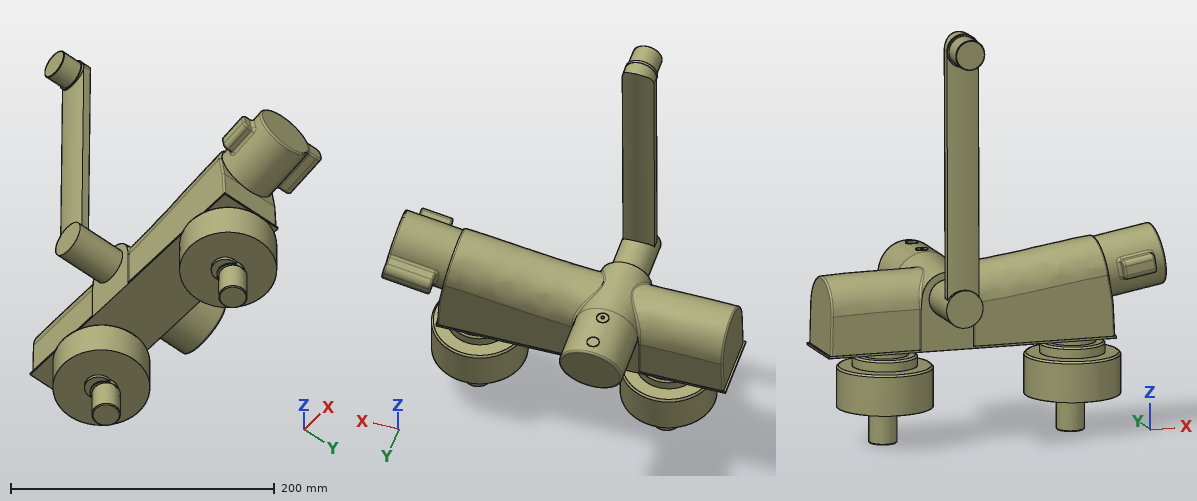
import cadquery as cq
import math


pick_margin = 1.0

body_left = -93.3
body_left_lean = 1.4
body_right_foot = 134.6
body_right_chin = (133.2, 27.5)
body_right_crown = (125.6, 74.5)
body_width = 52.0
body_stations = ((-96.0, 57.8), (-20.0, 59.5), (20.0, 61.2), (75.0, 67.9), (137.0, 75.9))
body_rim_fillet = 1.5

base_left = -94.8
base_right = 135.3
base_width = 52.8
base_thickness = 1.7

axis_height = 40.8
yoke_front_half_width = 20.3
yoke_fillet = 2.0
yoke_margin = 5.0
lever_radius = 25.0
lever_top_reach = 71.75
lever_end_tilt = 10.3
lever_rim_fillet = 1.5
screw_radius = 4.7
screw_positions = (35.2, 60.2)
screw_rise = 0.4
screw_depth = 4.0
screw_pip_radius = 1.2
screw_pip_rise = 1.0

spout_radius = 14.6
spout_reach = 68.5
riser_half_width = 12.6
riser_top_height = 241.3
riser_front = 64.6
riser_side_depth = 6.7
riser_back_bulge = 4.5
riser_front_bulge = 1.3
riser_lean_drop = 2.0
nozzle_radius = 11.6
nozzle_reach = 82.1
nozzle_chamfer = 0.5
nozzle_ring_radius = 12.75
nozzle_ring_depth = 0.8

knob_tilt = 10.0
knob_radius = 23.9
knob_end_x = 175.5
knob_end_z = 58.3
knob_length = 60.0
knob_rim_fillet = 1.5
pad_height = 15.0
pad_end_round = 1.5
pad_flare = 2.5
button_from_end = 23.2
button_rise = 1.0
button_length = 25.5
button_reach = 32.7
button_round = 4.0
grip_from_end = 19.8
grip_length = 38.5
grip_reach = 36.5
grip_round = 5.5

connection_spacing = 150.0
connection_left = -41.5
connection_y = -0.5
neck_radius = 18.0
neck_depth = 5.3
collar_radius = 24.9
collar_bottom = 13.9
collar_chamfer = 1.5
rosette_radius = 36.9
rosette_bottom = 45.6
rosette_chamfer = 1.5
eccentric_radius = 10.6
eccentric_neck = (2.2, 49.5)
eccentric_lobe = (-3.5, 48.3)
stem_y = 4.2
stem_radius = 10.8
stem_bottom = 75.0
stem_chamfer = 0.8


def arch(plane, half_width, crown):
    """Round-topped outline standing on the base plane."""
    spring = crown - half_width
    return (
        cq.Workplane(plane)
        .moveTo(-half_width, 0)
        .lineTo(half_width, 0)
        .lineTo(half_width, spring)
        .threePointArc((0, crown), (-half_width, spring))
        .close()
        .wire()
        .val()
    )


def plane_across_x(x):
    return cq.Plane(origin=(x, 0, 0), xDir=(0, 1, 0), normal=(1, 0, 0))


def plane_facing_front(y, z=0.0):
    return cq.Plane(origin=(0, y, z), xDir=(1, 0, 0), normal=(0, -1, 0))


def upright_cylinder(x, y, radius, top, bottom):
    return cq.Workplane("XY", origin=(x, y, bottom)).circle(radius).extrude(top - bottom)


def make_body():
    chin_x, chin_z = body_right_chin
    crown_x, crown_z = body_right_crown
    wires = [arch(plane_across_x(x), body_width / 2, crown) for x, crown in body_stations]
    bar = cq.Workplane(cq.Solid.makeLoft(wires))
    right_end = cq.selectors.BoxSelector(
        (crown_x - pick_margin, -body_width, pick_margin),
        (base_right, body_width, crown_z + pick_margin),
    )
    profile_top = crown_z + body_width
    lean_slope = body_left_lean / body_stations[0][1]
    end_slope = (chin_x - crown_x) / (crown_z - chin_z)
    side_profile = (
        cq.Workplane("XZ")
        .moveTo(body_left, 0)
        .lineTo(body_right_foot, 0)
        .lineTo(chin_x, chin_z)
        .lineTo(crown_x - end_slope * (profile_top - crown_z), profile_top)
        .lineTo(body_left + lean_slope * profile_top, profile_top)
        .close()
        .extrude(body_width, both=True)
    )
    body = bar.intersect(side_profile).faces("<X").edges("not <Z").fillet(body_rim_fillet)
    return body.edges(right_end).edges("not |Y").fillet(body_rim_fillet)


def make_base():
    return cq.Workplane("XY").box(
        base_right - base_left, base_width, base_thickness, centered=False
    ).translate((base_left, -base_width / 2, 0))


def make_yoke(margin):
    """Saddle that tapers from the lever at the back to the spout at the front.

    The margin lengthens it by the same taper at both ends.
    """
    half_depth = base_width / 2
    taper = (lever_radius - yoke_front_half_width) / base_width
    front_half_width = yoke_front_half_width - taper * margin
    back_half_width = lever_radius + taper * margin
    front = arch(plane_facing_front(-half_depth - margin), front_half_width, axis_height + front_half_width)
    back = arch(plane_facing_front(half_depth + margin), back_half_width, axis_height + back_half_width)
    return cq.Workplane(cq.Solid.makeLoft([front, back], True))


def make_body_with_yoke():
    """Body and yoke blended together, trimmed flush with the base plate."""
    blended = make_body().union(make_yoke(yoke_margin))
    reach_x = lever_radius + yoke_margin
    reach_y = body_width / 2 + pick_margin
    seam = cq.selectors.BoxSelector(
        (-reach_x, -reach_y, -pick_margin),
        (reach_x, reach_y, axis_height + lever_radius),
        boundingbox=True,
    )
    blended = blended.edges(seam).edges("not |Y").edges("not |X").fillet(yoke_fillet)
    length = base_right - base_left
    trim = cq.Workplane("XY").box(length, base_width, length).translate(((base_right + base_left) / 2, 0, 0))
    return blended.intersect(trim)


def make_lever():
    """Cylinder with a slanted end and two set screws along its top."""
    start = base_width / 2
    slant = 2 * lever_radius * math.tan(math.radians(lever_end_tilt))
    top = axis_height + lever_radius
    bottom = axis_height - lever_radius
    side_profile = (
        cq.Workplane("YZ")
        .polyline([(start, bottom), (lever_top_reach - slant, bottom), (lever_top_reach, top), (start, top)])
        .close()
        .extrude(lever_radius, both=True)
    )
    cylinder = (
        cq.Workplane(plane_facing_front(lever_top_reach, axis_height))
        .circle(lever_radius)
        .extrude(lever_top_reach - start)
    )
    lever = cylinder.intersect(side_profile).faces(">Y").edges().fillet(lever_rim_fillet)
    for y in screw_positions:
        lever = lever.union(upright_cylinder(0, y, screw_radius, top + screw_rise, top - screw_depth))
    pip_y = screw_positions[0]
    return lever.union(upright_cylinder(0, pip_y, screw_pip_radius, top + screw_pip_rise, top))


def make_spout():
    """Horizontal arm, flat riser with a rounded top, and outlet nozzle."""
    arm_start = -base_width / 2
    arm = (
        cq.Workplane(plane_facing_front(arm_start, axis_height))
        .circle(spout_radius)
        .extrude(spout_reach + arm_start)
    )
    riser_height = riser_top_height - axis_height
    riser_depth = riser_front_bulge + riser_side_depth + riser_back_bulge
    side_front = -riser_front + riser_front_bulge
    side_back = side_front + riser_side_depth
    riser = (
        cq.Workplane("XY", origin=(0, 0, axis_height))
        .moveTo(-riser_half_width, side_front)
        .threePointArc((0, -riser_front), (riser_half_width, side_front))
        .lineTo(riser_half_width, side_back)
        .threePointArc((0, side_back + riser_back_bulge), (-riser_half_width, side_back))
        .close()
        .extrude(riser_height + riser_half_width)
    )
    face_outline = (
        cq.Workplane(plane_facing_front(-riser_front + riser_depth, axis_height))
        .moveTo(-riser_half_width, 0)
        .lineTo(riser_half_width, 0)
        .lineTo(riser_half_width, riser_height)
        .threePointArc((0, riser_height + riser_half_width), (-riser_half_width, riser_height))
        .close()
        .extrude(riser_depth)
    )
    lean = math.degrees(math.atan(riser_lean_drop / riser_height))
    top_point = (0, -riser_front, riser_top_height)
    riser = riser.intersect(face_outline).rotate(top_point, (1, -riser_front, riser_top_height), -lean)
    ring = (
        cq.Workplane(plane_facing_front(side_front, riser_top_height))
        .circle(nozzle_ring_radius)
        .extrude(riser_front_bulge + nozzle_ring_depth)
    )
    nozzle = (
        cq.Workplane(plane_facing_front(side_front, riser_top_height))
        .circle(nozzle_radius)
        .extrude(nozzle_reach + side_front)
        .faces("<Y")
        .chamfer(nozzle_chamfer)
    )
    return arm.union(riser).union(ring).union(nozzle)


def make_pad(length, reach, side_round, from_end):
    """Rounded block standing off the knob axis toward -Y."""
    return (
        cq.Workplane("XY")
        .box(length, reach, pad_height)
        .edges("|X and <Y")
        .fillet(side_round)
        .faces("<X or >X")
        .edges("not >Y")
        .fillet(pad_end_round)
        .translate((-from_end, -reach / 2, 0))
    )


def pad_foot(length, from_end, side):
    """Selects the edges where a pad meets the knob; side is -1 for -Y, +1 for +Y."""
    half_length = length / 2 + pick_margin
    half_height = pad_height / 2 + button_rise + pick_margin
    inner_y = side * math.sqrt(knob_radius**2 - half_height**2)
    outer_y = side * (knob_radius + pick_margin)
    return cq.selectors.BoxSelector(
        (-from_end - half_length, inner_y, -half_height),
        (-from_end + half_length, outer_y, half_height),
    )


def make_knob():
    """Tilted knob with a stop button at the front and a grip at the back.

    Built along X with the end face at the origin, then tilted into place.
    """
    knob = (
        cq.Workplane("YZ", origin=(-knob_length, 0, 0))
        .circle(knob_radius)
        .extrude(knob_length)
        .faces(">X")
        .edges()
        .fillet(knob_rim_fillet)
    )
    button = make_pad(button_length, button_reach, button_round, button_from_end)
    button = button.translate((0, 0, button_rise))
    knob = knob.union(button)
    knob = knob.edges(pad_foot(button_length, button_from_end, -1)).fillet(pad_flare)
    grip = make_pad(grip_length, grip_reach, grip_round, grip_from_end).mirror("XZ")
    knob = knob.union(grip)
    knob = knob.edges(pad_foot(grip_length, grip_from_end, 1)).fillet(pad_flare)
    return knob.rotate((0, 0, 0), (0, 1, 0), -knob_tilt).translate((knob_end_x, 0, knob_end_z))


def make_connection(x):
    """Wall union: neck, collar, rosette, eccentric and threaded stem."""
    neck = upright_cylinder(x, connection_y, neck_radius, base_thickness, -neck_depth)
    collar = upright_cylinder(x, connection_y, collar_radius, -neck_depth, -collar_bottom)
    collar = collar.faces(">Z").chamfer(collar_chamfer)
    rosette = upright_cylinder(x, connection_y, rosette_radius, -collar_bottom, -rosette_bottom)
    rosette = rosette.faces(">Z").chamfer(rosette_chamfer)
    connection = neck.union(collar).union(rosette)
    for y, depth in (eccentric_neck, eccentric_lobe):
        connection = connection.union(upright_cylinder(x, y, eccentric_radius, -rosette_bottom, -depth))
    stem = upright_cylinder(x, stem_y, stem_radius, -eccentric_neck[1], -stem_bottom)
    return connection.union(stem.faces("<Z").chamfer(stem_chamfer))


result = make_body_with_yoke()
result = result.union(make_base()).union(make_lever()).union(make_spout()).union(make_knob())
for connection_x in (connection_left, connection_left + connection_spacing):
    result = result.union(make_connection(connection_x))